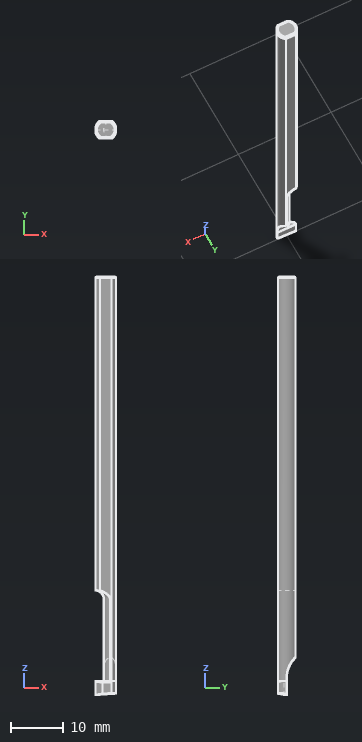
import cadquery as cq
import math

TOTAL_LENGTH = 80.0
BAR_RADIUS = 2.0
FLAT_Y = 1.7
TOP_CHAMFER = 0.28

NECK_TOP = 20.0
NECK_RADIUS = 1.8
NECK_AXIS_X = 1.4
NECK_FILLET = 1.6

HEAD_TOP = 2.6
RAKE_Y = 0.0
SCOOP_RADIUS = 5.6
SCOOP_END = 3.2
HEEL_X = -1.9
HEEL_Y = -0.6
FRONT_X = -0.6
BOTTOM_RISE_X = 0.07
BOTTOM_RISE_Y = 0.1
TOP_FALL_Y = 0.15

FLAT_HALF_WIDTH = math.sqrt(BAR_RADIUS**2 - FLAT_Y**2)
MARGIN = 4.0


def around_neck(profile):
    """Revolve a radius/height profile round the -X half of the neck axis."""
    ring = profile.revolve(360, (0, 0, 0), (0, 1, 0))
    ring = ring.translate((NECK_AXIS_X, 0, 0))
    half_space = (
        cq.Workplane("XY")
        .box(2 * MARGIN, 4 * MARGIN, 2 * TOTAL_LENGTH, centered=(False, True, True))
        .translate((NECK_AXIS_X - 2 * MARGIN, 0, 0))
    )
    return ring.intersect(half_space)


def make_bar():
    bar = cq.Workplane("XY").circle(BAR_RADIUS).extrude(TOTAL_LENGTH - HEAD_TOP)
    flats = cq.Workplane("XY").box(
        2 * BAR_RADIUS, 2 * FLAT_Y, TOTAL_LENGTH, centered=(True, True, False)
    )
    bar = bar.intersect(flats).translate((0, 0, HEAD_TOP))
    return bar.faces(">Z").chamfer(TOP_CHAMFER)


def neck_cutter():
    """Material removed round the neck, ending in the concave fillet."""
    fillet_start = NECK_TOP - NECK_FILLET
    fillet_axis = NECK_RADIUS + NECK_FILLET
    diagonal = NECK_FILLET * math.sqrt(0.5)
    profile = (
        cq.Workplane("XZ")
        .moveTo(NECK_RADIUS, 0)
        .lineTo(NECK_RADIUS, fillet_start)
        .threePointArc(
            (fillet_axis - diagonal, fillet_start + diagonal), (fillet_axis, NECK_TOP)
        )
        .lineTo(NECK_RADIUS + MARGIN, NECK_TOP)
        .lineTo(NECK_RADIUS + MARGIN, 0)
        .close()
    )
    return around_neck(profile)


def scoop_cutter():
    """Material removed on the +Y side above the rake face."""
    depth = FLAT_Y - RAKE_Y
    angle = math.acos(1 - depth / SCOOP_RADIUS)

    def arc_point(turn):
        y = RAKE_Y + SCOOP_RADIUS * (1 - math.cos(turn))
        return y, SCOOP_END + SCOOP_RADIUS * math.sin(turn)

    return (
        cq.Workplane("YZ")
        .moveTo(RAKE_Y, 0)
        .lineTo(RAKE_Y, SCOOP_END)
        .threePointArc(arc_point(angle / 2), arc_point(angle))
        .lineTo(FLAT_Y, 0)
        .close()
        .extrude(BAR_RADIUS + MARGIN, both=True)
    )


def head_blank():
    rake_right_x = math.sqrt(BAR_RADIUS**2 - RAKE_Y**2)
    arc_middle = BAR_RADIUS * math.sqrt(0.5)
    return (
        cq.Workplane("XY")
        .moveTo(-BAR_RADIUS, RAKE_Y)
        .lineTo(HEEL_X, HEEL_Y)
        .lineTo(FRONT_X, -FLAT_Y)
        .lineTo(FLAT_HALF_WIDTH, -FLAT_Y)
        .threePointArc((arc_middle, -arc_middle), (rake_right_x, RAKE_Y))
        .close()
        .extrude(HEAD_TOP)
    )


def clearance_cutter(height, normal):
    """Block beyond a sloping plane through the rake edge at the given height."""
    plane = cq.Plane(origin=(-BAR_RADIUS, RAKE_Y, height), normal=normal)
    return cq.Workplane(plane).rect(4 * MARGIN, 4 * MARGIN).extrude(MARGIN)


def arm_top_cutter():
    """Clearance on top of the arm, stopping at the wall of the neck."""
    profile = (
        cq.Workplane("XZ")
        .moveTo(NECK_RADIUS, 0)
        .rect(MARGIN, HEAD_TOP, centered=False)
    )
    slope = clearance_cutter(HEAD_TOP, (0, -TOP_FALL_Y, 1))
    return around_neck(profile).intersect(slope)


def make_shank():
    return make_bar().cut(neck_cutter()).cut(scoop_cutter())


def make_head():
    bottom_clearance = clearance_cutter(0, (BOTTOM_RISE_X, -BOTTOM_RISE_Y, -1))
    return head_blank().cut(bottom_clearance).cut(arm_top_cutter())


shank = make_shank()
head = make_head()

result = cq.Compound.makeCompound([shank.val(), head.val()])